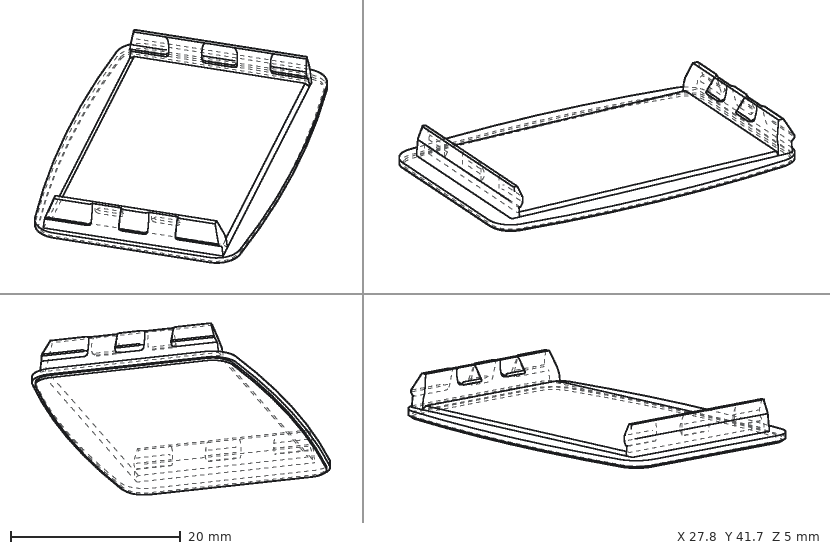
import cadquery as cq
import math

plate_length = 41.65
plate_width = 27.8
plate_top = 1.0
plate_corner_radius = 3.0
side_radius = 141.6
widest_y = 1.25
under_layer_height = 0.3
under_layer_inset = 0.4

panel_top = 1.37
panel_half_width_bottom = 11.0
panel_half_width_top = 10.45

head_bottom = 2.15
stem_half_width_bottom = panel_half_width_bottom
stem_half_width_top = 10.85
barb_round = 0.45
barb_root_margin = 0.1
wall_overlap = 0.4
rough_half_width = stem_half_width_bottom + 1.65

front_height = 5.0
front_head_half_width_top = 9.87
front_inner_y = -18.2
front_outer_y = -20.1
front_inner_bend_y = -18.3
front_inner_bend_z = 3.0
front_outer_bend_z = 2.25
front_top_inner_y = -18.9
front_top_outer_y = -19.33
front_barb_top_y = -19.58
front_barb_tip_y = -20.75
front_barb_foot_y = -19.58
front_barb_foot_z = 1.9
front_barb_tip_z = 2.8
front_limit_y = -20.65
notch_center_x = 3.45
notch_half_width = 1.7
catch_tip_y = -17.58
catch_foot_y = -18.75
catch_foot_z = 3.0
catch_tip_z = 3.15
catch_limit_y = -17.83

back_height = 4.8
back_head_half_width_top = 10.58
back_inner_y = 17.25
back_outer_y = 18.35
back_outer_bend_z = 3.15
back_top_inner_y = 17.33
back_top_outer_y = 17.83
back_corner_round = 0.25
back_barb_tip_y = 16.7
back_barb_foot_y = 17.08
back_barb_tip_bottom = 2.7
back_barb_tip_top = 3.37
back_middle_barb_half_width = 2.15
back_end_barb_start_x = 6.25


def plate_outline():
    """Wire of the plate: straight ends, circular-arc sides, sharp corners."""
    half_length = plate_length / 2
    half_width = plate_width / 2

    def half_width_at(y):
        return half_width - side_radius + math.sqrt(side_radius**2 - (y - widest_y) ** 2)

    front_x = half_width_at(-half_length)
    back_x = half_width_at(half_length)
    return (
        cq.Workplane("XY", origin=(0, 0, under_layer_height))
        .moveTo(-front_x, -half_length)
        .lineTo(front_x, -half_length)
        .threePointArc((half_width, widest_y), (back_x, half_length))
        .lineTo(-back_x, half_length)
        .threePointArc((-half_width, widest_y), (-front_x, -half_length))
        .close()
    )


def make_plate():
    upper = plate_outline().extrude(plate_top - under_layer_height).edges("|Z").fillet(plate_corner_radius)
    bottom_wire = upper.faces("<Z").wires().toPending()
    lower = bottom_wire.offset2D(-under_layer_inset).extrude(-under_layer_height, combine=False)
    return upper.union(lower)


def extrude_along_x(yz_points, x_start, x_end):
    return cq.Workplane("YZ").workplane(offset=x_start).polyline(yz_points).close().extrude(x_end - x_start)


def extrude_along_y(half_width_points, y_start, y_end):
    """Extrude a left-right symmetric section given as (half width, z) from bottom to top."""
    mirrored = [(-x, z) for x, z in reversed(half_width_points)]
    section = cq.Workplane("XZ").workplane(offset=-y_end).polyline(half_width_points + mirrored).close()
    return section.extrude(y_end - y_start)


def make_panel():
    section = [
        (panel_half_width_bottom, under_layer_height),
        (panel_half_width_bottom, plate_top),
        (panel_half_width_top, panel_top),
    ]
    return extrude_along_y(section, front_inner_y - wall_overlap, back_inner_y + wall_overlap)


def wall_envelope(y_start, y_end, height, top_half_width):
    """Block whose ends give a wall its near-upright stem and leaning head."""
    section = [
        (stem_half_width_bottom, under_layer_height),
        (stem_half_width_bottom, plate_top),
        (stem_half_width_top, head_bottom),
        (top_half_width, height),
    ]
    return extrude_along_y(section, y_start, y_end)


def rounded_barb(exposed_points, embed_y, x_start, x_end):
    """Barb along X whose end edges are rounded along its exposed outline.

    exposed_points runs over the exposed (y, z) outline; the section closes at embed_y inside the wall.
    """
    bottom_z = exposed_points[0][1]
    top_z = exposed_points[-1][1]
    section = [(embed_y, bottom_z)] + exposed_points + [(embed_y, top_z)]
    barb = extrude_along_x(section, x_start, x_end)
    selector = None
    for (y1, z1), (y2, z2) in zip(exposed_points, exposed_points[1:]):
        for x in (x_start, x_end):
            middle = (x, (y1 + y2) / 2, (z1 + z2) / 2)
            nearest = cq.selectors.NearestToPointSelector(middle)
            selector = selector + nearest if selector else nearest
    return barb.edges(selector).fillet(barb_round)


def make_front_wall():
    core = [
        (front_outer_y, under_layer_height),
        (front_outer_y, front_outer_bend_z),
        (front_top_outer_y, front_height),
        (front_top_inner_y, front_height),
        (front_inner_bend_y, front_inner_bend_z),
        (front_inner_y, under_layer_height),
    ]
    barb = [
        (front_barb_foot_y, front_barb_foot_z),
        (front_barb_tip_y, front_barb_tip_z),
        (front_barb_top_y, front_height),
    ]
    catch = [
        (catch_foot_y, catch_foot_z),
        (catch_tip_y, catch_tip_z),
        (front_top_inner_y, front_height),
    ]
    barb_root = front_top_inner_y - barb_root_margin
    catch_root = front_top_outer_y + barb_root_margin
    notch_near = notch_center_x - notch_half_width
    notch_far = notch_center_x + notch_half_width

    wall = extrude_along_x(core, -rough_half_width, rough_half_width)
    barb_spans = [
        (-rough_half_width, -notch_far),
        (-notch_near, notch_near),
        (notch_far, rough_half_width),
    ]
    for x_start, x_end in barb_spans:
        wall = wall.union(rounded_barb(barb, barb_root, x_start, x_end))
    for x in (-notch_center_x, notch_center_x):
        wall = wall.union(rounded_barb(catch, catch_root, x - notch_half_width, x + notch_half_width))
    envelope = wall_envelope(front_limit_y, catch_limit_y, front_height, front_head_half_width_top)
    return wall.intersect(envelope)


def make_back_wall():
    core = [
        (back_outer_y, under_layer_height),
        (back_outer_y, back_outer_bend_z),
        (back_top_outer_y, back_height),
        (back_top_inner_y, back_height),
        (back_inner_y, under_layer_height),
    ]
    barb = [
        (back_barb_foot_y, head_bottom),
        (back_barb_tip_y, back_barb_tip_bottom),
        (back_barb_tip_y, back_barb_tip_top),
        (back_top_inner_y, back_height),
    ]
    envelope = wall_envelope(back_barb_tip_y, back_outer_y, back_height, back_head_half_width_top)
    wall = extrude_along_x(core, -rough_half_width, rough_half_width).intersect(envelope)
    middle_y = (back_top_inner_y + back_top_outer_y) / 2
    for side in (-1, 1):
        outer_corner = cq.selectors.BoxSelector(
            (side * back_head_half_width_top, middle_y + back_corner_round, 0),
            (side * rough_half_width, back_outer_y + back_corner_round, back_height),
        )
        wall = wall.edges(outer_corner).fillet(back_corner_round)
    barb_root = back_top_outer_y - barb_root_margin
    middle = back_middle_barb_half_width
    end = back_end_barb_start_x
    for x_start, x_end in [(-rough_half_width, -end), (-middle, middle), (end, rough_half_width)]:
        wall = wall.union(rounded_barb(barb, barb_root, x_start, x_end))
    return wall.intersect(envelope)


result = make_plate().union(make_panel()).union(make_front_wall()).union(make_back_wall())